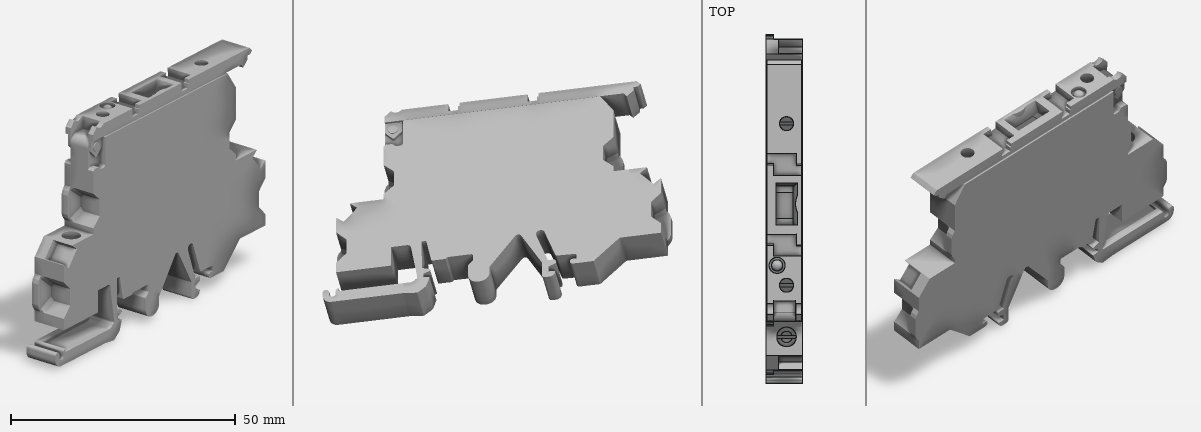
import cadquery as cq
import math

width = 8.15
ridge_width = 1.7
body_top = 50.4
cover_bottom = 50.6
cover_top = 53.75
cover_inset = 0.2
past = 0.8

upper_half = 26.0
upper_floor = 28.3
tier_out = 10.8
tier_drop = 18.0
lower_half = upper_half + tier_out
lower_floor = 8.8
shoulder_edge = 33.55
shoulder_low = 24.5
corner_edge = 23.0
corner_low = 46.0

terminal_z = 33.9
lower_stretch = 0.2
ridge_reach = 1.0
ridge_profile = [(0, 4.2), (0.7, 3.3), (ridge_reach, 2.3)]
funnel_depth = 2.3
funnel_mouth = (ridge_width, 4.2)
funnel_floor = (2.8, 2.0)
funnel_corner = 0.85
marker_x = 2.8
marker_depth = 2.2
marker_lip = 0.15

arm_top = 4.0
arm_bottom = 0.4
arm_end = -39.85
arm_recess_y = (-36.2, -18.6)
arm_recess_depth = 0.8
arm_recess_radius = 1.5

hinge_y = -24.0
hinge_z = 48.6
hinge_recess_y = -21.7
recess_bottom = 43.2
recess_step = 43.95
cover_cut_y = -21.4
web_x = (ridge_width, 6.6)
web_radius = cover_bottom - hinge_z
ear_x = ((0.9, 1.6), (6.7, 7.4))
pin_radius = 1.1
pin_length = 0.2
ear_half = 2.0
ear_tip = 46.0
ear_corner = 48.0

cover_end = -25.85
slot_starts = (11.3, -6.6)
slot_length = 4.8
slot_floor = 51.65
slot_walls = (ridge_width, 6.75)
slot_opening = 2.5
slot_lip = 0.3
slot_lip_depth = 0.9
slot_undercut = 0.2
window_top = (2.25, 7.1, -4.6, 4.8)
window_floor = (2.25, 6.05, -4.6, 4.1)
window_well = (-3.1, 2.7)
window_well_depth = 0.3
bulge_y = 0.15
bulge_half = 2.0
bulge_height = 0.5
screw_x = 4.6
cover_screw_y = (18.0, -17.95)
cover_screw_radius = 1.55
cover_screw_level = 47.75
shoulder_screw_y = -29.4
shoulder_screw_radius = 2.2
shoulder_screw_level = 25.5
driver_slot = 0.7
screw_recess_depth = 0.5
dish_ratio = 0.58
lamp_x = 2.5
lamp_y = -13.5
lamp_hole_radius = 1.8
lamp_radius = 1.25
lamp_top = 53.9
lamp_floor = lamp_top - lamp_radius


def rounded(points):
    """Closed YZ outline; each point is (y, z) or (y, z, corner radius)."""
    legs = []
    for i, point in enumerate(points):
        corner = cq.Vector(point[0], point[1])
        if len(point) == 2:
            legs.append((corner, None, corner))
            continue
        radius = point[2]
        before = cq.Vector(*points[i - 1][:2])
        after = cq.Vector(*points[(i + 1) % len(points)][:2])
        back = (before - corner).normalized()
        ahead = (after - corner).normalized()
        half = back.getAngle(ahead) / 2
        setback = radius / math.tan(half)
        bisector = (back + ahead).normalized()
        middle = corner + bisector * (radius / math.sin(half) - radius)
        legs.append((corner + back * setback, middle, corner + ahead * setback))
    path = cq.Workplane("YZ").moveTo(*legs[0][2].toTuple()[:2])
    for start, middle, end in legs[1:] + legs[:1]:
        path = path.lineTo(*start.toTuple()[:2])
        if middle is not None:
            path = path.threePointArc(middle.toTuple()[:2], end.toTuple()[:2])
    return path.close()


def plate(points, x0, x1):
    return rounded(points).extrude(x1 - x0).translate((x0, 0, 0))


def box(x0, x1, y0, y1, z0, z1):
    return cq.Workplane("XY").box(x1 - x0, y1 - y0, z1 - z0, centered=False).translate((x0, y0, z0))


def both_ends(tool):
    """The tool at the -Y end together with its mirror image at the +Y end."""
    return tool.union(tool.mirror("XZ"))


def housing():
    free_end = [
        (corner_edge, body_top), (upper_half, corner_low), (upper_half, upper_floor),
        (shoulder_edge, upper_floor), (lower_half, shoulder_low), (lower_half, lower_floor),
    ]
    fixed_foot = [
        (27.4, lower_floor, 0.8), (21.5, 2.95), (16.15, 2.95, 0.7), (16.15, 4.35, 0.55), (17.6, 4.35),
        (17.6, 5.7, 0.3), (13.0, 5.8, 0.5), (10.2, 13.75, 0.9), (8.1, 13.75, 0.9),
    ]
    spring_leg = [
        (11.2, 4.8), (13.0, 4.8, 0.5), (13.0, 3.65), (11.25, 2.95), (11.25, 1.55),
        (12.8, 1.5), (12.8, 0.0, 1.3), (9.9, 0.0, 0.7), (9.9, 4.3), (4.5, 14.0, 0.8),
    ]
    centre_lobe = [
        (-2.0, 5.0), (-2.0, 1.1, 2.25), (-6.9, 1.1, 2.25), (-6.9, 6.2, 0.4), (-5.8, 7.4),
        (-5.8, 9.25, 0.3), (-11.6, 9.25), (-12.0, lower_floor), (-15.2, lower_floor, 0.3),
        (-16.4, 14.7, 0.2), (-17.5, 14.7),
    ]
    latch = [
        (-17.3, 7.0), (-15.5, 6.4), (-15.5, 5.9), (-17.0, 5.3), (-17.1, 4.3), (-15.6, 4.0),
        (-16.4, 1.55, 1.55), (-18.4, 0.0, 0.6), (-21.6, arm_bottom), (arm_end, arm_bottom, 2.0),
        (arm_end, arm_top, 0.7), (-38.4, arm_top, 0.7), (-38.4, 1.9, 0.7), (-36.9, 1.9, 0.7),
        (-36.9, arm_top, 0.6), (-18.3, arm_top, 0.4), (-19.95, 14.1, 0.9), (-24.3, 14.1),
        (-24.3, lower_floor),
    ]
    hinge_end = [
        (-lower_half, lower_floor), (-lower_half, shoulder_low), (-shoulder_edge, upper_floor),
        (-upper_half, upper_floor), (-upper_half, body_top),
    ]
    return plate(free_end + fixed_foot + spring_leg + centre_lobe + latch + hinge_end, 0, width)


def ridge(face, height, stretch):
    """Bevelled ridge beside a terminal, at the -Y end."""
    upper = [(-face - out, height + up + stretch) for out, up in ridge_profile]
    lower = [(-face - out, height - up - stretch) for out, up in reversed(ridge_profile)]
    half = ridge_profile[0][1] + stretch
    root = [(-face + past, height - half), (-face + past, height + half)]
    return plate(upper + lower + root, 0, ridge_width)


def funnel(face, height, stretch):
    """Tapered wire entry with cut corners, open to +X, at the -Y end."""
    def section(wall, half):
        side = width + past
        return [
            (side, half), (wall + funnel_corner, half), (wall, half - funnel_corner),
            (wall, funnel_corner - half), (wall + funnel_corner, -half), (side, -half),
        ]
    plane = cq.Plane(origin=(0, -face, height), xDir=(1, 0, 0), normal=(0, -1, 0))
    mouth = cq.Workplane(plane).polyline(section(funnel_mouth[0], funnel_mouth[1] + stretch)).close()
    inner = mouth.workplane(offset=-funnel_depth).polyline(section(*funnel_floor)).close()
    return inner.loft(ruled=True, combine=True)


def marker_notch():
    """Channel sunk square into the shoulder bevel, with a thin lip along both of its edges."""
    high = cq.Vector(-shoulder_edge, upper_floor)
    low = cq.Vector(-lower_half, shoulder_low)
    along = (low - high).normalized()
    inward = cq.Vector(-along.y, along.x)
    corners = [
        high + along * marker_lip - inward * past, low - along * marker_lip - inward * past,
        low - along * marker_lip + inward * marker_depth, high + along * marker_lip + inward * marker_depth,
    ]
    return plate([(corner.x, corner.y) for corner in corners], marker_x, width + past)


def arm_recess():
    """Shallow relief in the top of the latch arm, open to +X."""
    outer, inner = arm_recess_y
    floor = arm_top - arm_recess_depth
    top = arm_top + past
    outline = [(outer, top), (outer, floor), (inner, floor, arm_recess_radius), (inner, top)]
    return plate(outline, ridge_width, width + past)


def screw(y, top, radius, level, dished):
    """Screw shaft hole whose floor is a slotted screw head."""
    tool = cq.Workplane("XY", origin=(screw_x, y, level)).circle(radius).extrude(top - level + past)
    slot = cq.Workplane("XY", origin=(screw_x, y, level - screw_recess_depth))
    blade = slot.rect(2 * radius, driver_slot).extrude(screw_recess_depth)
    round_limit = slot.circle(radius).extrude(screw_recess_depth)
    tool = tool.union(blade.intersect(round_limit))
    if dished:
        dish = cq.Workplane("XY", origin=(screw_x, y, level - screw_recess_depth / 2))
        tool = tool.union(dish.circle(dish_ratio * radius).extrude(screw_recess_depth / 2))
    return tool


def hinge_recesses():
    """Side pockets that leave a central web for the cover ears."""
    outline = [
        (hinge_recess_y, body_top + past), (hinge_recess_y, recess_bottom, 0.6), (-23.3, recess_bottom, 0.2),
        (-24.1, recess_step, 0.2), (-25.5, recess_step, 0.2), (-upper_half - past, 42.95),
        (-upper_half - past, body_top + past),
    ]
    return plate(outline, -past, web_x[0]).union(plate(outline, web_x[1], width + past))


def cover():
    x0 = cover_inset
    x1 = width - cover_inset
    outline = [
        (31.2, cover_top), (32.15, 52.8), (31.45, 52.1), (30.5, 52.1), (30.5, 51.1), (29.0, 49.7),
        (28.3, cover_bottom), (cover_end, cover_bottom), (cover_end, 52.3),
        (-24.5, cover_top), (-23.2, 52.4, 1.55), (-22.0, cover_top),
    ]
    lid = plate(outline, x0, x1)
    lid = lid.cut(box(*web_x, cover_end - past, cover_cut_y, cover_bottom - past, cover_top + past))
    for ear_start, ear_stop in ear_x:
        ear = [
            (hinge_y + ear_half, cover_bottom + past), (hinge_y + ear_half, ear_corner),
            (hinge_y, ear_tip, 0.3), (cover_end, ear_corner), (cover_end, cover_bottom + past),
        ]
        lid = lid.union(plate(ear, ear_start, ear_stop))
        pin = cq.Workplane("YZ", origin=(ear_start - pin_length, hinge_y, hinge_z)).circle(pin_radius)
        lid = lid.union(pin.extrude(ear_stop - ear_start + 2 * pin_length))
    return lid


def marker_slot(start):
    """Z-shaped slot: open to -X beside its +Y wall and to +X beside its -Y wall."""
    end = start - slot_length
    top = cover_top + past
    wall_low, wall_high = slot_walls
    tool = box(wall_low, wall_high, end, start, slot_floor, top)
    tool = tool.union(box(-past, wall_low, start - slot_opening + slot_lip, start, slot_floor, top))
    tool = tool.union(box(wall_high, width + past, end, end + slot_opening - slot_lip, slot_floor, top))
    lip_z = cover_top - slot_lip_depth
    tool = tool.union(box(-past, wall_low, start - slot_opening, start, lip_z, top))
    tool = tool.union(box(wall_high, width + past, end, end + slot_opening, lip_z, top))
    return tool.union(box(-past, wall_high, start, start + slot_undercut, slot_floor, lip_z))


def window():
    """Tapered pocket through the cover with a rounded bulge in its +X wall."""
    def ring(plane, x0, x1, y0, y1):
        return plane.polyline([(x0, y0), (x1, y0), (x1, y1), (x0, y1)]).close()
    depth = cover_top - cover_bottom
    mouth = ring(cq.Workplane("XY", origin=(0, 0, cover_top)), *window_top)
    tool = ring(mouth.workplane(offset=-depth), *window_floor).loft(ruled=True, combine=True)
    radius = (bulge_half ** 2 + bulge_height ** 2) / (2 * bulge_height)
    bulge_x = window_top[1] - bulge_height + radius
    bulge = cq.Workplane("XY", origin=(bulge_x, bulge_y, cover_bottom)).circle(radius).extrude(depth)
    well = box(window_floor[0], window_floor[1], *window_well,
               cover_bottom - window_well_depth, cover_bottom)
    return tool.cut(bulge).union(well)


def lamp():
    centre = (lamp_x, lamp_y, lamp_floor)
    return cq.Workplane("XY", origin=centre).sphere(lamp_radius)


part = housing()
upper_tier = (upper_half, terminal_z, 0)
lower_tier = (lower_half, terminal_z - tier_drop, lower_stretch)
for tier in (upper_tier, lower_tier):
    part = part.union(both_ends(ridge(*tier)))
    part = part.cut(both_ends(funnel(*tier)))
part = part.cut(both_ends(marker_notch()))
part = part.cut(arm_recess())
part = part.cut(screw(shoulder_screw_y, upper_floor, shoulder_screw_radius, shoulder_screw_level, True))

part = part.cut(hinge_recesses())
part = part.cut(box(*web_x, -upper_half - past, hinge_y, hinge_z, cover_top))
web_round = cq.Workplane("YZ", origin=(web_x[0], hinge_y, hinge_z)).circle(web_radius)
part = part.union(web_round.extrude(web_x[1] - web_x[0]))

part = part.union(box(*web_x, hinge_y, corner_edge, body_top - past, cover_bottom))
part = part.union(cover())

for start in slot_starts:
    part = part.cut(marker_slot(start))
part = part.cut(window())
for y in cover_screw_y:
    part = part.cut(screw(y, cover_top, cover_screw_radius, cover_screw_level, False))
lamp_hole = cq.Workplane("XY", origin=(lamp_x, lamp_y, lamp_floor)).circle(lamp_hole_radius)
part = part.cut(lamp_hole.extrude(lamp_radius))
part = part.union(lamp())

result = part